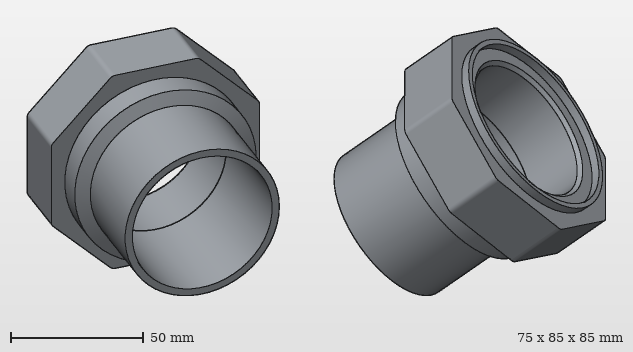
import cadquery as cq
import math

total_length = 75.0
nut_start = 3.6
nut_end = 28.0
collar_end = 38.0
taper_end = 40.0

across_flats = 85.0
nut_corner_radius = 3.0
collar_diameter = 74.0
spigot_diameter = 63.0

recess_diameter = 69.95
recess_depth = 3.5
bore_mouth_diameter = 59.6
bore_chamfer_length = 1.5
front_bore_diameter = 56.7
rear_bore_diameter = 57.0
bore_step_position = 28.9


def revolve_profile(points):
    """Revolve a closed (x, radius) outline about the X axis."""
    return cq.Workplane("XY").polyline(points).close().revolve(360, (0, 0, 0), (1, 0, 0))


def make_nut():
    """Octagonal wrench section with flats facing Y and Z and rounded corners."""
    sides = 8
    corner_diameter = across_flats / math.cos(math.pi / sides)
    return (
        cq.Workplane("YZ", origin=(nut_start, 0, 0))
        .transformed(rotate=(0, 0, 180 / sides))
        .polygon(sides, corner_diameter)
        .extrude(nut_end - nut_start)
        .edges("|X")
        .fillet(nut_corner_radius)
    )


def make_body():
    """Solid collar that tapers down to the spigot."""
    collar_radius = collar_diameter / 2
    spigot_radius = spigot_diameter / 2
    return revolve_profile([
        (0, 0),
        (0, collar_radius),
        (collar_end, collar_radius),
        (taper_end, spigot_radius),
        (total_length, spigot_radius),
        (total_length, 0),
    ])


def make_cavity():
    """Front recess, chamfered bore mouth and slightly stepped through bore."""
    recess_radius = recess_diameter / 2
    front_radius = front_bore_diameter / 2
    rear_radius = rear_bore_diameter / 2
    return revolve_profile([
        (0, 0),
        (0, recess_radius),
        (recess_depth, recess_radius),
        (recess_depth, bore_mouth_diameter / 2),
        (recess_depth + bore_chamfer_length, front_radius),
        (bore_step_position, front_radius),
        (bore_step_position, rear_radius),
        (total_length, rear_radius),
        (total_length, 0),
    ])


result = make_body().union(make_nut()).cut(make_cavity())